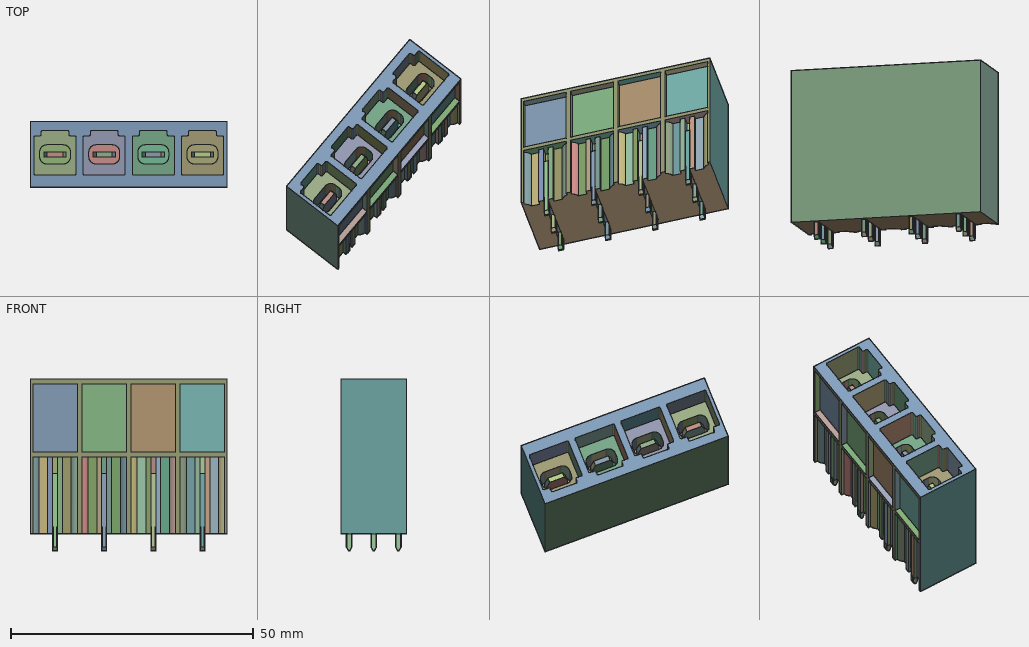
import cadquery as cq
import math

poles = 4
pitch = 10.15
length = poles * pitch
width = 13.6
height = 32.02
front = -width / 2

wall = 0.5
frame_bar = 1.0
window_width = pitch - 2 * wall
window_height = 14.05
window_depth = 1.25
recess_height = height - 2 * frame_bar - window_height

recess_depth = 1.45
rib_width = 1.0
rib_setback = 0.7
shoulder_width = 1.25
shoulder_setback = 0.55
shoulder_radius = 2.0

cavity_width = 8.7
cavity_front = front + 2.5
cavity_back = front + 10.65
cavity_depth = 7.6
cavity_floor = height - cavity_depth
key_width = 5.75
key_back = front + 11.75
cavity_corner_radius = 0.3

pocket_width = 6.4
pocket_length = 4.0
pocket_radius = 1.5
pocket_floor = recess_height + frame_bar

contact_thickness = 1.0
tail_count = 3
tail_pitch = 5.1
tail_width = 1.2
tail_length = 3.5
tail_chamfer = 0.15
tail_chamfer_rise = 1.4
tip_height = 0.8
tip_width = 0.3
plate_height = 12.45
plate_span = (tail_count - 1) * tail_pitch + tail_width
blade_width = 4.65
blade_top = cavity_floor
blade_lead = 0.7
blade_lead_height = 2.5

pole_positions = [(i - (poles - 1) / 2) * pitch for i in range(poles)]
tail_positions = [(i - (tail_count - 1) / 2) * tail_pitch for i in range(tail_count)]


def block(x_size, y_min, y_max, z_min, z_max):
    """Box centred on the YZ plane."""
    box = cq.Workplane("XY").box(x_size, y_max - y_min, z_max - z_min, centered=(True, False, False))
    return box.translate((0, y_min, z_min))


def window_cut():
    """Flat window in the upper front face."""
    return block(window_width, front, front + window_depth, recess_height + frame_bar, height - frame_bar)


def recess_cut():
    """Lower front recess: a rounded shoulder at each side and two ribs beside the slot."""
    half_width = window_width / 2
    shoulder_edge = half_width - shoulder_width
    back = front + recess_depth
    rib_face = front + rib_setback
    shoulder_start = front + shoulder_setback

    shoulder_rise = recess_depth - shoulder_setback
    chord = math.hypot(shoulder_width, shoulder_rise)
    sagitta = shoulder_radius - math.sqrt(shoulder_radius**2 - (chord / 2) ** 2)
    arc_x = half_width - shoulder_width / 2 - sagitta * shoulder_rise / chord
    arc_y = shoulder_start + shoulder_rise / 2 - sagitta * shoulder_width / chord

    cut = (
        cq.Workplane("XY")
        .moveTo(-half_width, front)
        .lineTo(half_width, front)
        .lineTo(half_width, shoulder_start)
        .threePointArc((arc_x, arc_y), (shoulder_edge, back))
        .lineTo(-shoulder_edge, back)
        .threePointArc((-arc_x, arc_y), (-half_width, shoulder_start))
        .close()
        .extrude(recess_height)
    )
    rib_pair = block(contact_thickness + 2 * rib_width, rib_face, back, 0, recess_height)
    return cut.cut(rib_pair)


def contact_slot():
    """Slot open at the front up to the recess top, and matching the plate behind the front tail."""
    front_tail_back = tail_positions[0] + tail_width / 2
    front_slot = block(contact_thickness, front, front_tail_back, 0, recess_height)
    plate_slot = block(contact_thickness, -plate_span / 2, plate_span / 2, 0, plate_height)
    blade_slot = block(blade_width, -contact_thickness / 2, contact_thickness / 2, plate_height, pocket_floor)
    return front_slot.union(plate_slot).union(blade_slot)


def cavity_cut():
    """Plug cavity with its key at the back and the pocket around the blade."""
    body = block(cavity_width, cavity_front, cavity_back, cavity_floor, height)
    key = block(key_width, cavity_front, key_back, cavity_floor, height)
    cavity = body.union(key).edges("|Z").fillet(cavity_corner_radius)
    pocket = block(pocket_width, -pocket_length / 2, pocket_length / 2, pocket_floor, cavity_floor)
    return cavity.union(pocket.edges("|Z").fillet(pocket_radius))


def make_housing():
    housing = block(length, front, -front, 0, height)
    cuts = [window_cut(), recess_cut(), contact_slot(), cavity_cut()]
    for x in pole_positions:
        for cut in cuts:
            housing = housing.cut(cut.translate((x, 0, 0)))
    return housing


def make_tail(y):
    """Solder tail with chamfered edges and a wedge tip."""
    tail = block(contact_thickness, -tail_width / 2, tail_width / 2, -tail_length, tail_chamfer_rise)
    tail = tail.edges("|Z").chamfer(tail_chamfer)
    wedge = (
        cq.Workplane("YZ")
        .moveTo(-tip_width / 2, -tail_length)
        .lineTo(tip_width / 2, -tail_length)
        .lineTo(tail_width / 2, tip_height - tail_length)
        .lineTo(tail_width / 2, tail_chamfer_rise)
        .lineTo(-tail_width / 2, tail_chamfer_rise)
        .lineTo(-tail_width / 2, tip_height - tail_length)
        .close()
        .extrude(contact_thickness / 2, both=True)
    )
    return tail.intersect(wedge).translate((0, y, 0))


def make_blade():
    """Upright blade with a sloped lead-in at both sides of its top."""
    half_width = blade_width / 2
    return (
        cq.Workplane("XZ")
        .moveTo(-half_width, plate_height)
        .lineTo(half_width, plate_height)
        .lineTo(half_width, blade_top - blade_lead_height)
        .lineTo(half_width - blade_lead, blade_top)
        .lineTo(blade_lead - half_width, blade_top)
        .lineTo(-half_width, blade_top - blade_lead_height)
        .close()
        .extrude(contact_thickness / 2, both=True)
    )


def make_contact(x):
    plate = block(contact_thickness, -plate_span / 2, plate_span / 2, tail_chamfer_rise, plate_height)
    contact = plate.union(make_blade())
    for y in tail_positions:
        contact = contact.union(make_tail(y))
    return contact.translate((x, 0, 0))


housing = make_housing()
contacts = [make_contact(x).val() for x in pole_positions]

result = cq.Compound.makeCompound([housing.val(), *contacts])